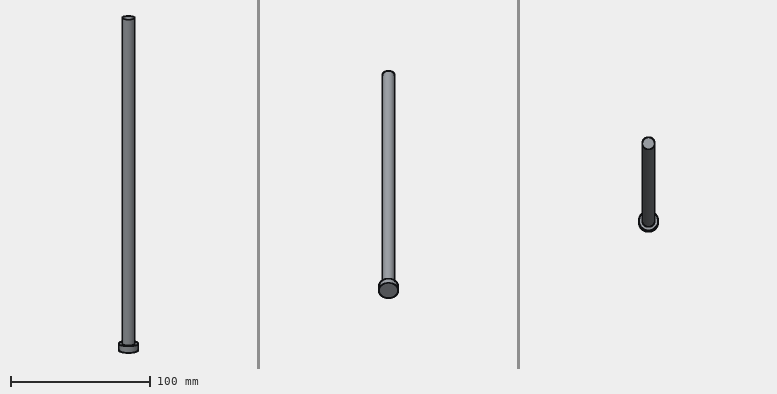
import cadquery as cq

total_length = 250.0
head_diameter = 14.0
head_thickness = 5.0
shaft_diameter = 9.0

head = cq.Workplane("XY").circle(head_diameter / 2).extrude(head_thickness)
result = head.faces(">Z").workplane().circle(shaft_diameter / 2).extrude(total_length - head_thickness)